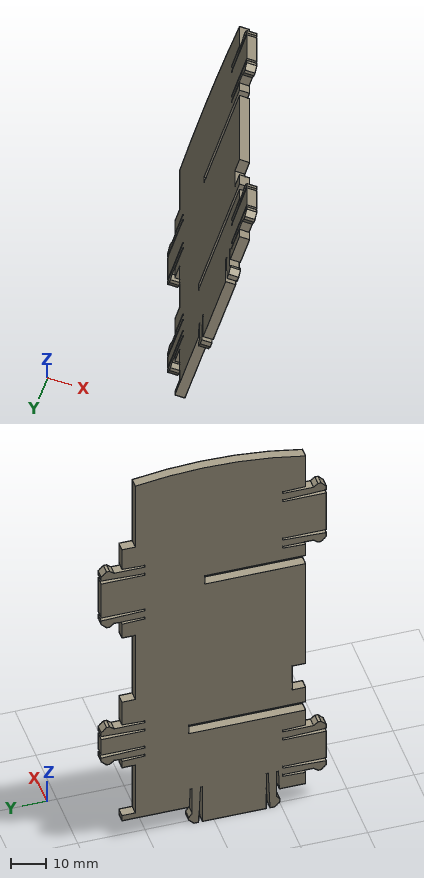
import cadquery as cq
import math

thickness = 3.0
height = 132.6
overall_width = 67.0

body_bottom = 6.4
half_width = 27.3
step = 4.0
top_radius = 134.0
top_center_y = 2.3
inset_y = half_width - step
recesses = [(8.4, 26.3), (50.9, 74.9), (108.1, height)]
notch_range = (42.6, 51.5)
slot_width = thickness
slots = [(35.5, 7.4), (90.5, 2.7)]

clip_length = 13.0
arm_offset = 3.0
gap_root = 0.6
gap_growth = 0.5
catch_height = 1.0
catch_nose = 1.6
catch_flat = 0.9
catch_flank = 1.3

tip_y = overall_width / 2
root_y = tip_y - clip_length
clips = [
    (root_y, 90.5, 0, 12.7),
    (root_y, 35.5, 0, 5.8),
    (-root_y, 107.0, 180, 13.8),
    (-root_y, 19.5, 180, 10.0),
    (-6.1, clip_length, 270, 19.0),
]


def plate(sketch):
    """Extrude a closed YZ outline evenly to both sides of X = 0."""
    return sketch.extrude(thickness / 2, both=True)


def block(y_low, y_high, z_low, z_high):
    outline = cq.Workplane("YZ").center((y_low + y_high) / 2, (z_low + z_high) / 2)
    return plate(outline.rect(y_high - y_low, z_high - z_low))


def top_z(y):
    """Height of the domed top edge."""
    return height - top_radius + math.sqrt(top_radius**2 - (y - top_center_y) ** 2)


def make_body():
    outline = (
        cq.Workplane("YZ")
        .moveTo(-half_width, body_bottom)
        .lineTo(half_width, body_bottom)
        .lineTo(half_width, top_z(half_width))
        .threePointArc((top_center_y, height), (-half_width, top_z(-half_width)))
        .close()
    )
    body = plate(outline)
    for z_low, z_high in recesses:
        body = body.cut(block(inset_y, half_width, z_low, z_high))
    body = body.cut(block(-half_width, -inset_y, *notch_range))
    for mid_z, end_y in slots:
        body = body.cut(block(-half_width, end_y, mid_z - slot_width / 2, mid_z + slot_width / 2))
    return body


def place(shape, y, z, angle):
    return shape.rotate((0, 0, 0), (1, 0, 0), angle).translate((0, y, z))


def make_pocket(tongue_width):
    """Flared opening that clears a clip, with its root centre at the origin."""
    root_half = tongue_width / 2 + arm_offset + gap_root
    mouth_half = root_half + gap_growth
    corners = [(0, -root_half), (clip_length, -mouth_half), (clip_length, mouth_half), (0, root_half)]
    return plate(cq.Workplane("YZ").polyline(corners).close())


def make_clip(tongue_width):
    """Tongue and two arms pointing along +Y, with the root centre at the origin."""
    tongue_half = tongue_width / 2
    arm_outer = tongue_half + arm_offset
    catch_top = arm_outer + catch_height
    flat_end = clip_length - catch_nose
    flat_start = flat_end - catch_flat
    arm = plate(
        cq.Workplane("YZ")
        .moveTo(0, tongue_half + gap_root)
        .lineTo(clip_length, tongue_half + gap_root + gap_growth)
        .lineTo(clip_length, catch_top - catch_nose)
        .lineTo(flat_end, catch_top)
        .lineTo(flat_start, catch_top)
        .lineTo(flat_start - catch_flank, arm_outer)
        .lineTo(0, arm_outer)
        .close()
    )
    tongue = block(0, clip_length, -tongue_half, tongue_half)
    return tongue.union(arm).union(arm.mirror("XY"))


result = make_body()
for y, z, angle, tongue_width in clips:
    result = result.cut(place(make_pocket(tongue_width), y, z, angle))
    result = result.union(place(make_clip(tongue_width), y, z, angle))